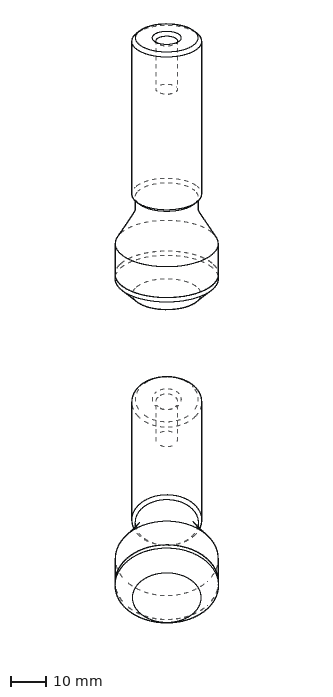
import cadquery as cq
import math

TOTAL_HEIGHT = 82.0
SHANK_DIAMETER = 20.0
SHANK_BOTTOM_Z = 32.1
TIP_CHAMFER = 1.1
NECK_DIAMETER = 18.0
NECK_FILLET_RADIUS = 5.0
FLARE_ANGLE = math.radians(30)
HEAD_DIAMETER = 29.4
HEAD_TOP_Z = 16.2

HOLE_DIAMETER = 6.2
HOLE_DEPTH = 16.4
COUNTERSINK_DIAMETER = 8.3
COUNTERSINK_ANGLE = 90.0
DRILL_POINT_ANGLE = math.radians(118)

PAD_TOP_Z = 6.4
PAD_RIM_Z = 5.0
PAD_RIM_DIAMETER = 29.6
PAD_BOTTOM_DIAMETER = PAD_RIM_DIAMETER - 2 * PAD_RIM_Z


def make_stud():
    """Revolved shank and head, with the neck blending tangentially into the flare."""
    shank_radius = SHANK_DIAMETER / 2
    neck_radius = NECK_DIAMETER / 2
    head_radius = HEAD_DIAMETER / 2
    neck_top_z = SHANK_BOTTOM_Z - (shank_radius - neck_radius)

    def blend_offset(angle):
        return NECK_FILLET_RADIUS * (1 - math.cos(angle))

    flare_start_radius = neck_radius + blend_offset(FLARE_ANGLE)
    flare_start_z = HEAD_TOP_Z + (head_radius - flare_start_radius) / math.tan(FLARE_ANGLE)
    neck_bottom_z = flare_start_z + NECK_FILLET_RADIUS * math.sin(FLARE_ANGLE)
    blend_mid = (
        neck_radius + blend_offset(FLARE_ANGLE / 2),
        neck_bottom_z - NECK_FILLET_RADIUS * math.sin(FLARE_ANGLE / 2),
    )

    body = (
        cq.Workplane("XZ")
        .moveTo(0, PAD_TOP_Z)
        .lineTo(head_radius, PAD_TOP_Z)
        .lineTo(head_radius, HEAD_TOP_Z)
        .lineTo(flare_start_radius, flare_start_z)
        .threePointArc(blend_mid, (neck_radius, neck_bottom_z))
        .lineTo(neck_radius, neck_top_z)
        .lineTo(shank_radius, SHANK_BOTTOM_Z)
        .lineTo(shank_radius, TOTAL_HEIGHT - TIP_CHAMFER)
        .lineTo(shank_radius - TIP_CHAMFER, TOTAL_HEIGHT)
        .lineTo(0, TOTAL_HEIGHT)
        .close()
        .revolve(360, (0, 0), (0, 1))
    )
    return body.cut(make_center_hole())


def make_center_hole():
    """Countersunk blind hole with a conical drill point."""
    hole_radius = HOLE_DIAMETER / 2
    countersink_radius = COUNTERSINK_DIAMETER / 2
    countersink_depth = (countersink_radius - hole_radius) / math.tan(math.radians(COUNTERSINK_ANGLE / 2))
    floor_z = TOTAL_HEIGHT - HOLE_DEPTH
    point_z = floor_z - hole_radius / math.tan(DRILL_POINT_ANGLE / 2)
    return (
        cq.Workplane("XZ")
        .moveTo(0, point_z)
        .lineTo(hole_radius, floor_z)
        .lineTo(hole_radius, TOTAL_HEIGHT - countersink_depth)
        .lineTo(countersink_radius, TOTAL_HEIGHT)
        .lineTo(0, TOTAL_HEIGHT)
        .close()
        .revolve(360, (0, 0), (0, 1))
    )


def make_pad():
    """Foot pad: rim slightly wider than the head, above a cone that narrows to a flat bottom."""
    return (
        cq.Workplane("XZ")
        .lineTo(PAD_BOTTOM_DIAMETER / 2, 0)
        .lineTo(PAD_RIM_DIAMETER / 2, PAD_RIM_Z)
        .lineTo(PAD_RIM_DIAMETER / 2, PAD_TOP_Z)
        .lineTo(0, PAD_TOP_Z)
        .close()
        .revolve(360, (0, 0), (0, 1))
    )


stud = make_stud()
pad = make_pad()
result = cq.Compound.makeCompound([stud.val(), pad.val()])